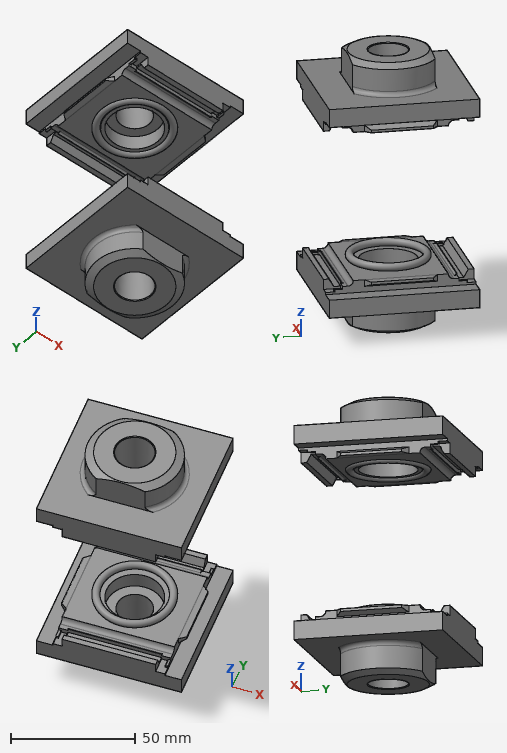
import cadquery as cq
import math

OVERALL_HEIGHT = 115.0
PLATE_SIDE = 62.0
PLATE_THICKNESS = 7.7

HUB_DIAMETER = 40.0
HUB_HEIGHT = 13.1
HUB_ACROSS_FLATS = 34.0
HUB_FILLET = 2.0
HUB_END_DIAMETER = 33.1
HUB_CHAMFER_HEIGHT = 1.8

BORE_MOUTH_DIAMETER = 17.0
BORE_LARGE_DIAMETER = 16.3
BORE_SMALL_DIAMETER = 15.1
RECESS_DIAMETER = 24.0
RECESS_DEPTH = 7.0

BLOCK_LENGTH = 48.0
BLOCK_HEIGHT = 5.2
RAIL_LENGTH = 40.0
RAIL_TOP_WIDTH = 2.4
RAIL_FOOT_WIDTH = 4.3
CHANNEL_FLOOR = 1.8
CHANNEL_INNER_EDGE = 7.0
BARB_HEIGHT = 3.8
BARB_TIP_WIDTH = 0.2
BARB_WIDTH = 1.2
LEDGE_FLOOR = 3.0
COVE_RADIUS = BLOCK_HEIGHT - LEDGE_FLOOR
COVE_TOP_EDGE = 11.4

CORNER_FLOOR = 0.9
RIDGE_WIDTH = 1.2
RIDGE_START = 3.5
CORNER_CHAMFER = 0.3

LUG_REACH = 2.8
LUG_ROOT_LENGTH = 30.0
LUG_TIP_LENGTH = 25.5
LUG_ROOT_THICKNESS = 2.8
LUG_TIP_THICKNESS = 1.2
LUG_TIP_DROP = 0.2

RING_OUTER_DIAMETER = 34.6
RING_SECTION = 3.3
RING_RADIUS = (RING_OUTER_DIAMETER - RING_SECTION) / 2
GROOVE_INNER_DIAMETER = 27.5
GROOVE_DEPTH = 2.2

HALF_SIDE = PLATE_SIDE / 2
HUB_END_Z = -OVERALL_HEIGHT / 2
PLATE_OUTER_Z = HUB_END_Z + HUB_HEIGHT
PLATE_INNER_Z = PLATE_OUTER_Z + PLATE_THICKNESS
FACE_Z = PLATE_INNER_Z + BLOCK_HEIGHT


def cylinder(diameter, z_from, z_to):
    return cq.Workplane("XY").workplane(offset=z_from).circle(diameter / 2).extrude(z_to - z_from)


def hub():
    radius = HUB_DIAMETER / 2
    end_radius = HUB_END_DIAMETER / 2
    fillet_mid = HUB_FILLET * (1 - math.sqrt(0.5))
    turned = (
        cq.Workplane("XZ")
        .moveTo(0, HUB_END_Z)
        .lineTo(end_radius, HUB_END_Z)
        .lineTo(radius, HUB_END_Z + HUB_CHAMFER_HEIGHT)
        .lineTo(radius, PLATE_OUTER_Z - HUB_FILLET)
        .threePointArc((radius + fillet_mid, PLATE_OUTER_Z - fillet_mid), (radius + HUB_FILLET, PLATE_OUTER_Z))
        .lineTo(0, PLATE_OUTER_Z)
        .close()
        .revolve(360, (0, 0, 0), (0, 1, 0))
    )
    flats = cq.Workplane("XY").box(PLATE_SIDE, HUB_ACROSS_FLATS, OVERALL_HEIGHT)
    return turned.intersect(flats)


def plate():
    return cq.Workplane("XY").workplane(offset=PLATE_OUTER_Z).rect(PLATE_SIDE, PLATE_SIDE).extrude(PLATE_THICKNESS)


def block():
    return cq.Workplane("XY").workplane(offset=PLATE_INNER_Z).rect(BLOCK_LENGTH, PLATE_SIDE).extrude(BLOCK_HEIGHT)


def channel_cut():
    """Lengthwise channel beside the -Y rail: slanted rail side, flat floor, barb, ledge and cove."""

    def at(from_edge, height):
        return (from_edge - HALF_SIDE, PLATE_INNER_Z + height)

    cove_start = COVE_TOP_EDGE - COVE_RADIUS
    cove_mid = COVE_RADIUS * math.sqrt(0.5)
    return (
        cq.Workplane("YZ")
        .moveTo(*at(COVE_TOP_EDGE, BLOCK_HEIGHT))
        .threePointArc(at(cove_start + cove_mid, BLOCK_HEIGHT - cove_mid), at(cove_start, LEDGE_FLOOR))
        .lineTo(*at(CHANNEL_INNER_EDGE + BARB_WIDTH, LEDGE_FLOOR))
        .tangentArcPoint(at(CHANNEL_INNER_EDGE + BARB_TIP_WIDTH, BARB_HEIGHT), relative=False)
        .lineTo(*at(CHANNEL_INNER_EDGE, BARB_HEIGHT))
        .lineTo(*at(CHANNEL_INNER_EDGE, CHANNEL_FLOOR))
        .lineTo(*at(RAIL_FOOT_WIDTH, CHANNEL_FLOOR))
        .lineTo(*at(RAIL_TOP_WIDTH, BLOCK_HEIGHT))
        .close()
        .extrude(BLOCK_LENGTH / 2, both=True)
    )


def corner_cut():
    """Lowered corner at the -X end of the -Y rail.

    It leaves a low ridge along the end of the channel and takes the barb off the end of the ledge.
    """
    corner_length = (BLOCK_LENGTH - RAIL_LENGTH) / 2
    corner = cq.Workplane("XY").box(
        corner_length, CHANNEL_INNER_EDGE, BLOCK_HEIGHT - CORNER_FLOOR, centered=False
    )
    ridge = (
        cq.Workplane("XY")
        .box(RIDGE_WIDTH, CHANNEL_INNER_EDGE - RIDGE_START, CHANNEL_FLOOR - CORNER_FLOOR, centered=False)
        .translate((0, RIDGE_START, 0))
        .edges("|Z and <X and <Y")
        .chamfer(CORNER_CHAMFER)
    )
    barb = (
        cq.Workplane("XY")
        .box(corner_length, BARB_WIDTH, BLOCK_HEIGHT - LEDGE_FLOOR, centered=False)
        .translate((0, CHANNEL_INNER_EDGE, LEDGE_FLOOR - CORNER_FLOOR))
    )
    removed = corner.cut(ridge).union(barb)
    return removed.translate((-BLOCK_LENGTH / 2, -HALF_SIDE, PLATE_INNER_Z + CORNER_FLOOR))


def lug():
    """Lug on the +X side of the block, starting at the mating face and tapering to its tip."""
    root_mid_z = FACE_Z - LUG_ROOT_THICKNESS / 2
    tip_mid_z = FACE_Z - LUG_TIP_DROP - LUG_TIP_THICKNESS / 2
    return (
        cq.Workplane("YZ")
        .workplane(offset=BLOCK_LENGTH / 2)
        .center(0, root_mid_z)
        .rect(LUG_ROOT_LENGTH, LUG_ROOT_THICKNESS)
        .workplane(offset=LUG_REACH)
        .center(0, tip_mid_z - root_mid_z)
        .rect(LUG_TIP_LENGTH, LUG_TIP_THICKNESS)
        .loft(ruled=True)
    )


def bore_cut():
    mouth_radius = BORE_MOUTH_DIAMETER / 2
    large_radius = BORE_LARGE_DIAMETER / 2
    small_radius = BORE_SMALL_DIAMETER / 2
    recess_radius = RECESS_DIAMETER / 2
    recess_floor_z = FACE_Z - RECESS_DEPTH
    taper_start_z = HUB_END_Z + mouth_radius - large_radius
    return (
        cq.Workplane("XZ")
        .moveTo(0, HUB_END_Z)
        .lineTo(mouth_radius, HUB_END_Z)
        .lineTo(large_radius, taper_start_z)
        .lineTo(small_radius, recess_floor_z)
        .lineTo(recess_radius, recess_floor_z)
        .lineTo(recess_radius, FACE_Z)
        .lineTo(0, FACE_Z)
        .close()
        .revolve(360, (0, 0, 0), (0, 1, 0))
    )


def ring_groove_cut():
    outer = cylinder(RING_OUTER_DIAMETER, FACE_Z - GROOVE_DEPTH, FACE_Z)
    return outer.cut(cylinder(GROOVE_INNER_DIAMETER, FACE_Z - GROOVE_DEPTH, FACE_Z))


def flange():
    """Flange in the lower position: hub pointing to -Z, mating face pointing to +Z."""
    body = hub().union(plate()).union(block())
    corner = corner_cut()
    for end in (corner, corner.mirror("YZ")):
        body = body.cut(end).cut(end.mirror("XZ"))
    channel = channel_cut()
    body = body.cut(channel).cut(channel.mirror("XZ"))
    body = body.union(lug()).union(lug().mirror("YZ"))
    return body.cut(bore_cut())


def o_ring(seat_depth):
    """O-ring in the lower position, with its underside at the given depth below the mating face."""
    center = cq.Vector(0, 0, FACE_Z - seat_depth + RING_SECTION / 2)
    return cq.Workplane("XY").add(cq.Solid.makeTorus(RING_RADIUS, RING_SECTION / 2, center))


lower_flange = flange()
upper_flange = lower_flange.cut(ring_groove_cut()).mirror("XY")
lower_ring = o_ring(0)
upper_ring = o_ring(GROOVE_DEPTH).mirror("XY")

result = cq.Compound.makeCompound(
    [lower_flange.val(), upper_flange.val(), lower_ring.val(), upper_ring.val()]
)